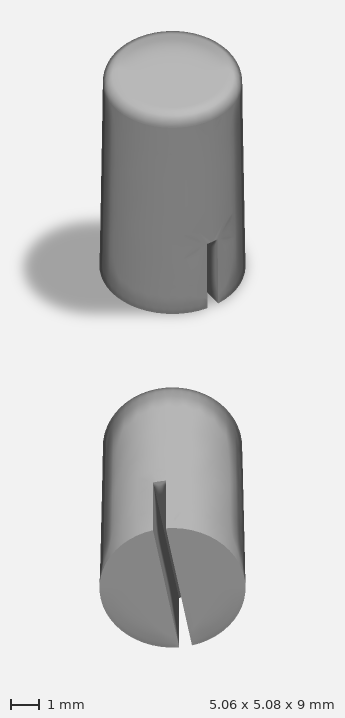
import cadquery as cq

height = 9.0
base_diameter = 5.08
shoulder_diameter = 4.84
edge_radius = 0.5

slot_width = 0.45
slot_height = 2.93


def tapered_body():
    """Cone frustum with a quarter-round top edge, revolved about Z."""
    base_radius = base_diameter / 2
    shoulder_radius = shoulder_diameter / 2
    shoulder_height = height - edge_radius
    top_radius = shoulder_radius - edge_radius
    diagonal = edge_radius * 0.5 ** 0.5
    arc_middle = (top_radius + diagonal, shoulder_height + diagonal)
    return (
        cq.Workplane("XZ")
        .lineTo(base_radius, 0)
        .lineTo(shoulder_radius, shoulder_height)
        .threePointArc(arc_middle, (top_radius, height))
        .lineTo(0, height)
        .close()
        .revolve(360, (0, 0), (0, 1))
    )


def cross_slot():
    """Straight slot through the full diameter, open at the bottom."""
    return cq.Workplane("XY").box(
        2 * base_diameter, slot_width, slot_height, centered=(True, True, False)
    )


result = tapered_body().cut(cross_slot())